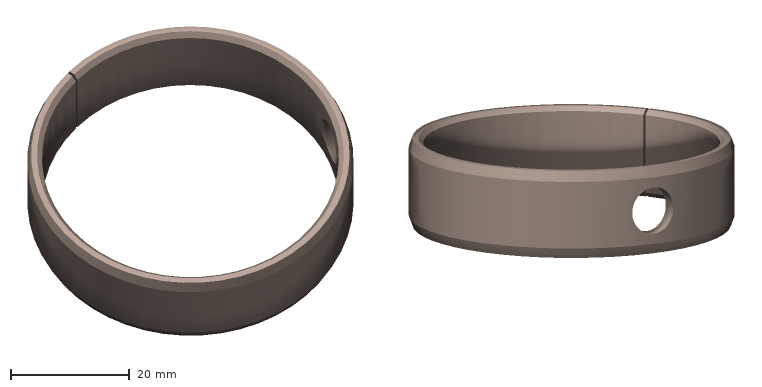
import cadquery as cq

outer_diameter = 55.0
inner_diameter = 50.05
height = 15.0

outer_bevel_depth = 0.65
outer_bevel_height = 1.75
inner_bevel_depth = 0.8
inner_bevel_height = 0.8

gap_angle = 1.0
gap_start_angle = 180.0

hole_diameter = 8.0
hole_angle = 59.0

outer_radius = outer_diameter / 2
inner_radius = inner_diameter / 2
half_height = height / 2


def open_ring():
    """Revolve the wall section, centred on Z = 0, about the Z axis from one gap face to the other."""
    rim_outer = outer_radius - outer_bevel_depth
    rim_inner = inner_radius + inner_bevel_depth
    outer_edge = half_height - outer_bevel_height
    inner_edge = half_height - inner_bevel_height
    section = [
        (inner_radius, -inner_edge),
        (rim_inner, -half_height),
        (rim_outer, -half_height),
        (outer_radius, -outer_edge),
        (outer_radius, outer_edge),
        (rim_outer, half_height),
        (rim_inner, half_height),
        (inner_radius, inner_edge),
    ]
    wall = cq.Workplane("XZ").polyline(section).close()
    ring = wall.revolve(360 - gap_angle, (0, 0), (0, 1))
    return ring.rotate((0, 0, 0), (0, 0, 1), gap_start_angle)


def hole_cutter():
    """Cylinder from the axis outward, turned to the hole angle."""
    cylinder = cq.Workplane("YZ").circle(hole_diameter / 2).extrude(outer_diameter)
    return cylinder.rotate((0, 0, 0), (0, 0, 1), hole_angle)


result = open_ring().cut(hole_cutter())